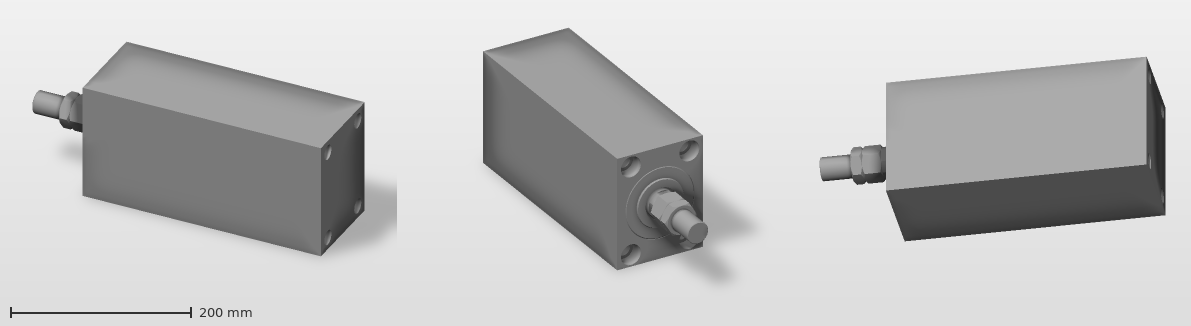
import cadquery as cq
import math

TOTAL_LENGTH = 377.0
BLOCK_WIDTH = 110.0
BLOCK_HEIGHT = 140.0
BLOCK_FACE_X = 83.0

HOLE_SPACING_Y = 75.0
HOLE_SPACING_Z = 110.0
HOLE_DIAMETER = 17.7
COUNTERBORE_DIAMETER = 25.5
COUNTERBORE_DEPTH = 17.0

GLAND_DIAMETER = 89.0
GLAND_CHAMFER = 1.0
GLAND_DEPTH = 30.0
COLLAR_DIAMETER = 60.7
COLLAR_HEIGHT = 2.3
COLLAR_CHAMFER_AXIAL = 1.5
COLLAR_CHAMFER_RADIAL = 0.8
WIPER_DIAMETER = 40.0
WIPER_DEPTH = 3.0

ROD_DIAMETER = 36.2
ROD_CHAMFER_RADIAL = 0.2
ROD_CHAMFER_AXIAL = 1.0
NECK_LENGTH = 7.5
WRENCH_SIZE = 32.8

STUD_LENGTH = 35.5
STUD_DIAMETER = 26.8
STUD_CHAMFER = 0.8
RELIEF_DEPTH = 0.2
RELIEF_TAPER_LENGTH = 2.0
RELIEF_LENGTH = 2.5
HEXAGON_SIZE = 36.2
HEXAGON_FACE_DIAMETER = 36.0
HEXAGON_CHAMFER_LENGTH = 2.3
FRONT_HEXAGON_THICKNESS = 13.0
REAR_HEXAGON_THICKNESS = 22.0

REAR_HEXAGON_X = STUD_LENGTH + FRONT_HEXAGON_THICKNESS
ROD_TIP_X = REAR_HEXAGON_X + REAR_HEXAGON_THICKNESS
NECK_END_X = ROD_TIP_X + NECK_LENGTH
GLAND_BACK_X = BLOCK_FACE_X + GLAND_DEPTH
COLLAR_FACE_X = BLOCK_FACE_X - COLLAR_HEIGHT


def cylinder(diameter, start_x, end_x):
    """Solid cylinder on the X axis."""
    return cq.Workplane("YZ", origin=(start_x, 0, 0)).circle(diameter / 2).extrude(end_x - start_x)


def make_housing():
    """Block with four counterbored through holes and a recess for the gland."""
    block = (
        cq.Workplane("YZ", origin=(BLOCK_FACE_X, 0, 0))
        .rect(BLOCK_WIDTH, BLOCK_HEIGHT)
        .extrude(TOTAL_LENGTH - BLOCK_FACE_X)
    )
    hole_centers = (
        cq.Workplane("YZ", origin=(BLOCK_FACE_X, 0, 0))
        .rect(HOLE_SPACING_Y, HOLE_SPACING_Z, forConstruction=True)
        .vertices()
    )
    block = block.cut(hole_centers.circle(HOLE_DIAMETER / 2).extrude(TOTAL_LENGTH - BLOCK_FACE_X))
    block = block.cut(hole_centers.circle(COUNTERBORE_DIAMETER / 2).extrude(COUNTERBORE_DEPTH))
    return block.cut(cylinder(GLAND_DIAMETER, BLOCK_FACE_X, GLAND_BACK_X))


def make_gland():
    """Disc flush with the block, with a raised collar and a wiper recess around the rod bore."""
    disc = cylinder(GLAND_DIAMETER, BLOCK_FACE_X, GLAND_BACK_X).faces("<X").chamfer(GLAND_CHAMFER)
    collar = cylinder(COLLAR_DIAMETER, COLLAR_FACE_X, BLOCK_FACE_X)
    collar = collar.faces("<X").chamfer(COLLAR_CHAMFER_AXIAL, COLLAR_CHAMFER_RADIAL)
    gland = disc.union(collar)
    gland = gland.cut(cylinder(WIPER_DIAMETER, COLLAR_FACE_X, COLLAR_FACE_X + WIPER_DEPTH))
    return gland.cut(cylinder(ROD_DIAMETER, COLLAR_FACE_X, GLAND_BACK_X))


def make_rod():
    """Piston rod with four wrench flats on the neck behind its tip."""
    neck_diameter = ROD_DIAMETER - 2 * ROD_CHAMFER_RADIAL
    flats = (
        cq.Workplane("YZ", origin=(ROD_TIP_X, 0, 0)).rect(WRENCH_SIZE, WRENCH_SIZE).extrude(NECK_LENGTH)
    )
    neck = cylinder(neck_diameter, ROD_TIP_X, NECK_END_X).intersect(flats)
    shaft = cylinder(ROD_DIAMETER, NECK_END_X, GLAND_BACK_X)
    shaft = shaft.faces("<X").chamfer(ROD_CHAMFER_AXIAL, ROD_CHAMFER_RADIAL)
    return shaft.union(neck)


def make_hexagon(start_x, thickness):
    """Hexagonal prism, corners toward +Y and -Y, with conical chamfers on both ends."""
    across_corners = HEXAGON_SIZE / math.cos(math.radians(30))
    prism = cq.Workplane("YZ", origin=(start_x, 0, 0)).polygon(6, across_corners).extrude(thickness)
    chamfer_height = (across_corners - HEXAGON_FACE_DIAMETER) / 2
    envelope = cylinder(across_corners, start_x, start_x + thickness)
    envelope = envelope.faces("<X or >X").chamfer(HEXAGON_CHAMFER_LENGTH, chamfer_height)
    return prism.intersect(envelope)


def make_rod_end():
    """Stud with a relief groove, a short hexagon and a long hexagon."""
    taper_end_x = STUD_LENGTH - RELIEF_LENGTH + RELIEF_TAPER_LENGTH
    thread = cylinder(STUD_DIAMETER, 0, taper_end_x).faces("<X").chamfer(STUD_CHAMFER)
    thread = thread.faces(">X").chamfer(RELIEF_TAPER_LENGTH, RELIEF_DEPTH)
    relief = cylinder(STUD_DIAMETER - 2 * RELIEF_DEPTH, taper_end_x, STUD_LENGTH)
    front_hexagon = make_hexagon(STUD_LENGTH, FRONT_HEXAGON_THICKNESS)
    rear_hexagon = make_hexagon(REAR_HEXAGON_X, REAR_HEXAGON_THICKNESS)
    return thread.union(relief).union(front_hexagon).union(rear_hexagon)


housing = make_housing()
gland = make_gland()
rod = make_rod()
rod_end = make_rod_end()

result = cq.Compound.makeCompound([housing.val(), gland.val(), rod.val(), rod_end.val()])